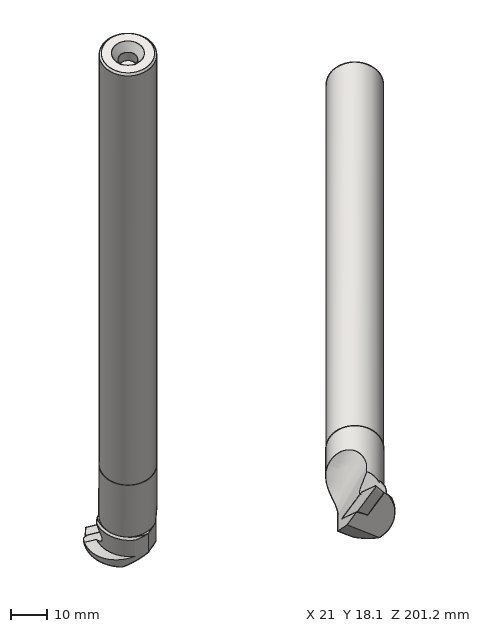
import cadquery as cq
import math

TOTAL_LENGTH = 201.2
SHANK_DIAMETER = 15.9
FRONT_DIAMETER = 16.0
FRONT_LENGTH = 33.2
FRONT_RADIUS = FRONT_DIAMETER / 2
TOP_CHAMFER = 0.6

BORE_DIAMETER = 5.5
COUNTERSINK_DIAMETER = 9.0
COUNTERSINK_DEPTH = 2.6
BORE_DEPTH = 6.0

NECK_Y = 1.2
NECK_RADIUS = 9.9
NECK_BOTTOM = 4.8
NECK_TOP = 12.0
SHOULDER = 0.6
LIP_X, LIP_Y = -2.0, 0.8
LIP_RADIUS = 10.9
HEAD_BOTTOM = 1.0
HEAD_CHAMFER_WIDTH = 5.2
HEAD_CHAMFER_HEIGHT = 3.2

FLUTE_RADIUS = 8.5
FLUTE_Z = 16.3
RAKE_TURN = 3.5
FLUTE_DIP = 13.0

NOSE_X = -13.0
NOSE_RADIUS = 0.5
NOSE_ANGLE = 35.0
LEAD_ANGLE = 3.0
INSERT_SIDE = 11.0
INSERT_THICKNESS = 3.2
INSERT_TAPER = 7.0

NOTCH_TOP = 12.9
NOTCH_UPPER_ANGLE = 135.0
NOTCH_RADIUS = 2.2
FLANK_SETBACK = 0.6

CLEARANCE = 40.2

FLANK_ANGLE = LEAD_ANGLE + NOSE_ANGLE


def polar(length, degrees):
    """Offset of the given length and direction in the XZ plane."""
    angle = math.radians(degrees)
    return cq.Vector(length * math.cos(angle), length * math.sin(angle))


def sharp_tip():
    """Point where the two cutting edges would meet without the nose radius."""
    nose_centre = cq.Vector(NOSE_X + NOSE_RADIUS, NOSE_RADIUS)
    to_tip = NOSE_RADIUS / math.sin(math.radians(NOSE_ANGLE / 2))
    return nose_centre - polar(to_tip, LEAD_ANGLE + NOSE_ANGLE / 2)


def insert_outline():
    """Rhombus of the insert's rake face, which lies in the plane y = 0."""
    tip = sharp_tip()
    lead = polar(INSERT_SIDE, LEAD_ANGLE)
    flank = polar(INSERT_SIDE, FLANK_ANGLE)
    corners = [tip, tip + lead, tip + lead + flank, tip + flank]
    return cq.Workplane("XZ").polyline([(p.x, p.y) for p in corners]).close()


def insert_plate():
    """Tapered plate with a rounded nose, turned about the nose to lean with the flute floor."""
    plate = insert_outline().extrude(INSERT_THICKNESS, taper=INSERT_TAPER)
    nose_edge = cq.selectors.NearestToPointSelector((NOSE_X, -INSERT_THICKNESS / 2, 0))
    plate = plate.edges("not(#Y)").edges(nose_edge).fillet(NOSE_RADIUS)
    return plate.rotate((NOSE_X, 0, 0), (NOSE_X, 0, 1), RAKE_TURN)


def bar():
    front = cq.Workplane("XY").workplane(offset=HEAD_BOTTOM).circle(FRONT_RADIUS)
    front = front.extrude(FRONT_LENGTH - HEAD_BOTTOM)
    shank = cq.Workplane("XY").workplane(offset=FRONT_LENGTH).circle(SHANK_DIAMETER / 2)
    shank = shank.extrude(TOTAL_LENGTH - FRONT_LENGTH).faces(">Z").chamfer(TOP_CHAMFER)
    return front.union(shank)


def coolant_bore():
    countersink_bottom = TOTAL_LENGTH - COUNTERSINK_DEPTH
    profile = [
        (0, TOTAL_LENGTH),
        (COUNTERSINK_DIAMETER / 2, TOTAL_LENGTH),
        (BORE_DIAMETER / 2, countersink_bottom),
        (BORE_DIAMETER / 2, TOTAL_LENGTH - BORE_DEPTH),
        (0, TOTAL_LENGTH - BORE_DEPTH),
    ]
    return cq.Workplane("XZ").polyline(profile).close().revolve(360, (0, 0), (0, 1))


def head():
    """Neck and lip, both about axes offset from the bar's."""
    skirt_radius = NECK_RADIUS + NECK_BOTTOM - HEAD_BOTTOM
    profile = [
        (0, HEAD_BOTTOM),
        (skirt_radius, HEAD_BOTTOM),
        (NECK_RADIUS, NECK_BOTTOM),
        (NECK_RADIUS, NECK_TOP - SHOULDER),
        (NECK_RADIUS - SHOULDER, NECK_TOP),
        (0, NECK_TOP),
    ]
    neck = cq.Workplane("XZ").polyline(profile).close().revolve(360, (0, 0), (0, 1))
    neck = neck.translate((0, NECK_Y, 0))

    lip = cq.Workplane("XY").center(LIP_X, LIP_Y).circle(LIP_RADIUS).extrude(NECK_TOP)
    beyond_bar = cq.Workplane("XY").box(CLEARANCE, CLEARANCE, CLEARANCE)
    beyond_bar = beyond_bar.translate((FRONT_RADIUS + CLEARANCE / 2, 0, 0))
    return neck.intersect(lip).cut(beyond_bar)


def head_chamfer():
    """Prism that bevels the lower +X corner of the head."""
    corner = [
        (FRONT_RADIUS - HEAD_CHAMFER_WIDTH, HEAD_BOTTOM),
        (FRONT_RADIUS, HEAD_BOTTOM + HEAD_CHAMFER_HEIGHT),
        (FRONT_RADIUS, HEAD_BOTTOM),
    ]
    return cq.Workplane("XZ").polyline(corner).close().extrude(CLEARANCE, both=True)


def chip_flute():
    """Clears the +Y half of the head, along an axis turned about Z and dipping towards +X."""
    across = cq.Vector(
        1,
        math.tan(math.radians(RAKE_TURN)),
        -math.tan(math.radians(FLUTE_DIP)),
    )
    start = cq.Vector(NOSE_X, 0, 0) - across * FRONT_RADIUS
    profile = (
        cq.Workplane("YZ", origin=start.toTuple())
        .moveTo(0, -CLEARANCE)
        .lineTo(0, FLUTE_Z)
        .radiusArc((FLUTE_RADIUS, FLUTE_Z + FLUTE_RADIUS), FLUTE_RADIUS)
        .lineTo(CLEARANCE, FLUTE_Z + FLUTE_RADIUS)
        .lineTo(CLEARANCE, -CLEARANCE)
        .close()
    )
    return cq.Workplane(cq.Solid.extrudeLinear(profile.val(), [], across * CLEARANCE))


def side_notch():
    """Rounded V notch: down and inwards from the bar, then along the insert flank to the tip."""
    flank_start = sharp_tip() + polar(FLANK_SETBACK, FLANK_ANGLE - 90)
    flank_slope = math.tan(math.radians(FLANK_ANGLE))
    upper_slope = math.tan(math.radians(NOTCH_UPPER_ANGLE))

    flank_z_at_bar = flank_start.y + flank_slope * (-FRONT_RADIUS - flank_start.x)
    inset = (NOTCH_TOP - flank_z_at_bar) / (flank_slope - upper_slope)
    root = cq.Vector(-FRONT_RADIUS + inset, NOTCH_TOP + upper_slope * inset)
    upper_end = root + polar(CLEARANCE, NOTCH_UPPER_ANGLE)
    lower_end = root - polar(CLEARANCE, FLANK_ANGLE)
    outline = [(p.x, p.y) for p in (root, upper_end, lower_end)]
    notch = cq.Workplane("XZ").polyline(outline).close().extrude(CLEARANCE, both=True)
    root_edge = cq.selectors.NearestToPointSelector((root.x, 0, root.y))
    return notch.edges("|Y").edges(root_edge).fillet(NOTCH_RADIUS)


insert = insert_plate()

holder = bar().union(head())
holder = holder.cut(coolant_bore())
holder = holder.cut(head_chamfer())
holder = holder.cut(chip_flute())
holder = holder.cut(side_notch())
holder = holder.cut(insert)

result = cq.Compound.makeCompound([holder.val(), insert.val()])